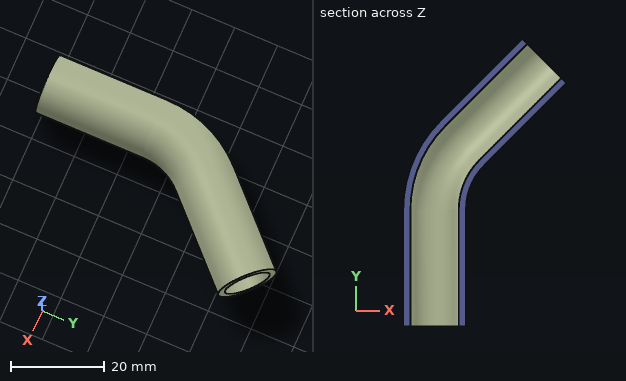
import cadquery as cq
import math

overall_length = 61.6
outer_diameter = 13.5
bore_diameter = 10.3
bend_radius = 20.0
bend_angle = 45.0

angle = math.radians(bend_angle)
bend_rise = (bend_radius + outer_diameter / 2) * math.sin(angle)
leg_length = (overall_length - bend_rise) / (1 + math.cos(angle))


def bend_point(turn):
    """Centreline point of the bend after turning by the given angle in radians."""
    return (
        bend_radius * (1 - math.cos(turn)),
        leg_length + bend_radius * math.sin(turn),
    )


bend_middle = bend_point(angle / 2)
bend_end = bend_point(angle)
outlet = (
    bend_end[0] + leg_length * math.sin(angle),
    bend_end[1] + leg_length * math.cos(angle),
)

centreline = (
    cq.Workplane("XY")
    .lineTo(0, leg_length)
    .threePointArc(bend_middle, bend_end)
    .lineTo(*outlet)
)

result = (
    cq.Workplane("XZ")
    .circle(outer_diameter / 2)
    .circle(bore_diameter / 2)
    .sweep(centreline)
)